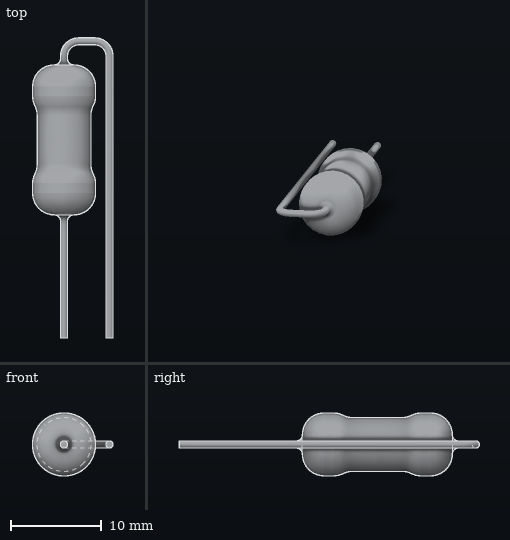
import cadquery as cq
import math

total_length = 33.1
total_width = 8.9

body_radius = 7.0 / 2
waist_radius = 5.95 / 2
body_half_length = 8.28
dome_radius = 2.4
shoulder_half = 4.8
waist_half = 2.75
collar_radius = 0.65
body_middle = 21.85

wire_radius = 0.8 / 2
bend_radius = 1.62
lead_pitch = total_width - body_radius - wire_radius
crest = total_length - wire_radius
bend_start = crest - bend_radius


def body_half(direction):
    """Revolve one half of the body, from its middle outward along +Y or -Y."""
    def at(radius, distance):
        return (radius, body_middle + direction * distance)

    neck_run = (shoulder_half - waist_half) / 2
    neck_rise = (body_radius - waist_radius) / 2
    neck_arc_radius = (neck_run**2 + neck_rise**2) / (2 * neck_rise)
    half_sweep = math.asin(neck_run / neck_arc_radius) / 2
    mid_run = neck_arc_radius * math.sin(half_sweep)
    mid_rise = neck_arc_radius * (1 - math.cos(half_sweep))

    diagonal = math.sqrt(0.5)
    dome_base = body_half_length - dome_radius
    dome_center_radius = body_radius - dome_radius
    collar_center_radius = wire_radius + collar_radius
    collar_end = body_half_length + collar_radius

    profile = (
        cq.Workplane("XY")
        .moveTo(*at(0, 0))
        .lineTo(*at(waist_radius, 0))
        .lineTo(*at(waist_radius, waist_half))
        .threePointArc(
            at(waist_radius + mid_rise, waist_half + mid_run),
            at(waist_radius + neck_rise, waist_half + neck_run),
        )
        .threePointArc(
            at(body_radius - mid_rise, shoulder_half - mid_run),
            at(body_radius, shoulder_half),
        )
        .lineTo(*at(body_radius, dome_base))
        .threePointArc(
            at(dome_center_radius + dome_radius * diagonal, dome_base + dome_radius * diagonal),
            at(dome_center_radius, body_half_length),
        )
        .lineTo(*at(collar_center_radius, body_half_length))
        .threePointArc(
            at(collar_center_radius - collar_radius * diagonal, collar_end - collar_radius * diagonal),
            at(wire_radius, collar_end),
        )
        .lineTo(*at(0, collar_end))
        .close()
    )
    return profile.revolve(360, (0, 0, 0), (0, 1, 0))


def wire():
    """Sweep one continuous wire up through the body, over the fold and back down."""
    path = (
        cq.Workplane("XY")
        .lineTo(0, bend_start)
        .tangentArcPoint((bend_radius, crest), relative=False)
        .lineTo(lead_pitch - bend_radius, crest)
        .tangentArcPoint((lead_pitch, bend_start), relative=False)
        .lineTo(lead_pitch, 0)
    )
    return cq.Workplane("XZ").circle(wire_radius).sweep(path)


result = body_half(1).union(body_half(-1)).union(wire())